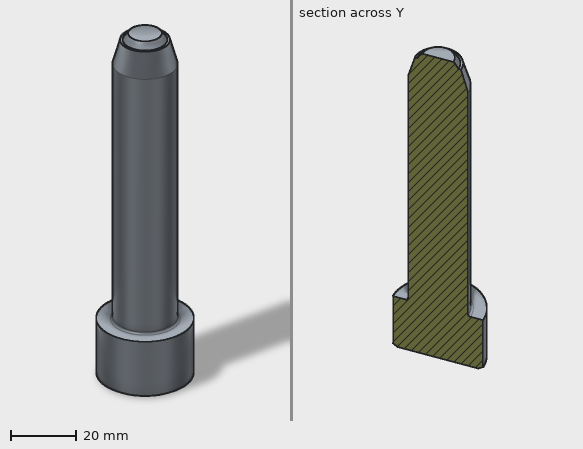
import cadquery as cq
import math

total_length = 120.0
head_radius = 30.0 / 2
head_height = 20.0
head_chamfer_width = 1.7
head_chamfer_height = 1.1

shank_radius = 20.0 / 2
root_fillet = 0.7

taper_length = 8.3
taper_top_radius = 7.7
tip_height = 2.3
tip_base_radius = 6.8
tip_top_radius = 5.2

taper_top = total_length - tip_height
taper_bottom = taper_top - taper_length


def fillet_midpoint():
    """Middle of the concave quarter arc between the head face and the shank."""
    inset = root_fillet * (1 - math.sqrt(0.5))
    return (shank_radius + inset, head_height + inset)


def tip_midpoint():
    """Point halfway up the tip side, which is a band of a sphere centred on the axis."""
    center_depth = (tip_base_radius**2 - tip_top_radius**2 - tip_height**2) / (2 * tip_height)
    sphere_radius = math.hypot(tip_base_radius, center_depth)
    mid_height = tip_height / 2
    mid_radius = math.sqrt(sphere_radius**2 - (center_depth + mid_height) ** 2)
    return (mid_radius, taper_top + mid_height)


profile = (
    cq.Workplane("XZ")
    .lineTo(head_radius - head_chamfer_width, 0)
    .lineTo(head_radius, head_chamfer_height)
    .lineTo(head_radius, head_height)
    .lineTo(shank_radius + root_fillet, head_height)
    .threePointArc(fillet_midpoint(), (shank_radius, head_height + root_fillet))
    .lineTo(shank_radius, taper_bottom)
    .lineTo(taper_top_radius, taper_top)
    .lineTo(tip_base_radius, taper_top)
    .threePointArc(tip_midpoint(), (tip_top_radius, total_length))
    .lineTo(0, total_length)
    .close()
)

result = profile.revolve(360, (0, 0, 0), (0, 1, 0))